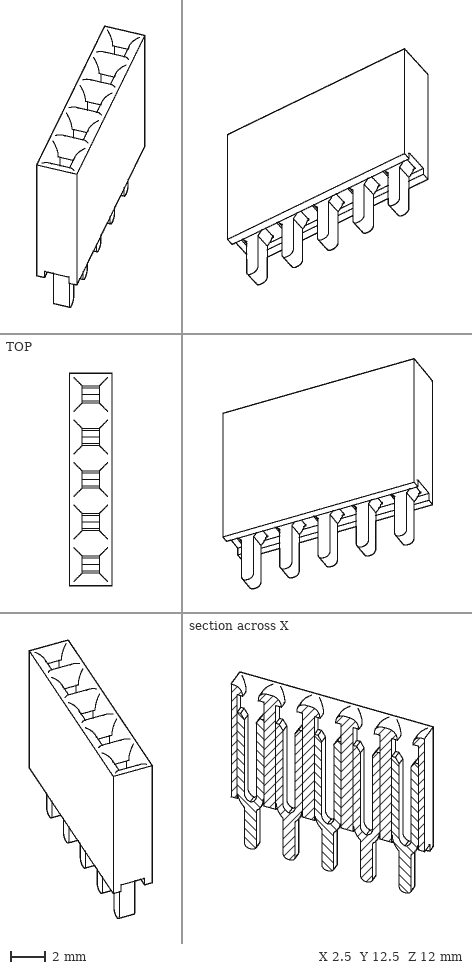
import cadquery as cq
import math

contact_count = 5
pitch = 2.5
housing_width = 2.5
housing_length = contact_count * pitch
pin_length = 3.0
housing_height = 9.0
housing_top = pin_length + housing_height

channel_width = 1.5
channel_depth = 0.5

contact_width = 1.0
funnel_radius = 0.6
throat_depth = 0.1
cavity_half_length = 0.85
cavity_top = housing_top - funnel_radius - throat_depth

pin_half_thickness = 0.4
tip_radius = 0.35
bulge_angle = math.radians(46.5)
bulge_radius = (cavity_half_length - pin_half_thickness) / (1 - math.cos(bulge_angle))
spring_level = pin_length + bulge_radius * math.sin(bulge_angle)
contact_top = 10.0
gap_half_width = 0.38
crotch_angle = math.radians(74.6)
crotch_radius = gap_half_width / (1 - math.cos(crotch_angle))
flare_angle = math.radians(32)
flare_half_width = 0.62
flare_bottom = contact_top - (flare_half_width - gap_half_width) / math.tan(flare_angle)

contact_positions = [(i - (contact_count - 1) / 2) * pitch for i in range(contact_count)]


def arc_point(tangent_y, radius, angle):
    """Point on an arc that leaves the vertical line Y = tangent_y at spring_level, turning to -Y and down."""
    return (
        tangent_y - radius * (1 - math.cos(angle)),
        spring_level - radius * math.sin(angle),
    )


def mirrored(point):
    return (-point[0], point[1])


def make_contact(y):
    """Flat contact: round-tipped pin that bulges into a two-leaf fork with a flared mouth."""
    tip_flat = pin_half_thickness - tip_radius
    tip_offset = tip_radius * math.sqrt(0.5)
    tip_middle = (tip_flat + tip_offset, tip_radius - tip_offset)
    bulge_middle = arc_point(cavity_half_length, bulge_radius, bulge_angle / 2)
    crotch_middle = arc_point(gap_half_width, crotch_radius, crotch_angle / 2)
    crotch = arc_point(gap_half_width, crotch_radius, crotch_angle)
    return (
        cq.Workplane("YZ", origin=(-contact_width / 2, y, 0))
        .moveTo(-tip_flat, 0)
        .lineTo(tip_flat, 0)
        .threePointArc(tip_middle, (pin_half_thickness, tip_radius))
        .lineTo(pin_half_thickness, pin_length)
        .threePointArc(bulge_middle, (cavity_half_length, spring_level))
        .lineTo(cavity_half_length, contact_top)
        .lineTo(flare_half_width, contact_top)
        .lineTo(gap_half_width, flare_bottom)
        .lineTo(gap_half_width, spring_level)
        .threePointArc(crotch_middle, crotch)
        .threePointArc(mirrored(crotch_middle), (-gap_half_width, spring_level))
        .lineTo(-gap_half_width, flare_bottom)
        .lineTo(-flare_half_width, contact_top)
        .lineTo(-cavity_half_length, contact_top)
        .lineTo(-cavity_half_length, spring_level)
        .threePointArc(mirrored(bulge_middle), (-pin_half_thickness, pin_length))
        .lineTo(-pin_half_thickness, tip_radius)
        .threePointArc(mirrored(tip_middle), (-tip_flat, 0))
        .close()
        .extrude(contact_width)
    )


def make_funnel_prism():
    """Trumpet-shaped profile in XZ, narrowing on convex quarter circles, extruded along Y."""
    half_throat = contact_width / 2
    half_mouth = half_throat + funnel_radius
    funnel_bottom = housing_top - funnel_radius
    offset = funnel_radius * math.sqrt(0.5)
    arc_middle = (half_mouth - offset, funnel_bottom + offset)
    return (
        cq.Workplane("XZ")
        .moveTo(-half_throat, funnel_bottom)
        .lineTo(half_throat, funnel_bottom)
        .threePointArc(arc_middle, (half_mouth, housing_top))
        .lineTo(-half_mouth, housing_top)
        .threePointArc(mirrored(arc_middle), (-half_throat, funnel_bottom))
        .close()
        .extrude(half_mouth, both=True)
    )


def make_funnel():
    """Square funnel: the trumpet profile along X intersected with the same profile along Y."""
    prism = make_funnel_prism()
    quarter_turn = 90
    return prism.intersect(prism.rotate((0, 0, 0), (0, 0, 1), quarter_turn))


def box(size_x, size_y, bottom, top):
    """Box centred on the Z axis between two levels."""
    return cq.Workplane("XY").workplane(offset=bottom).rect(size_x, size_y).extrude(top - bottom)


def make_housing():
    housing = box(housing_width, housing_length, pin_length, housing_top)
    channel = box(channel_width, housing_length, pin_length, pin_length + channel_depth)
    housing = housing.cut(channel)
    funnel = make_funnel()
    throat = box(contact_width, contact_width, cavity_top, housing_top - funnel_radius)
    cavity = box(contact_width, 2 * cavity_half_length, pin_length, cavity_top)
    for y in contact_positions:
        for opening in (cavity, throat, funnel):
            housing = housing.cut(opening.translate((0, y, 0)))
    return housing


housing = make_housing()
contacts = [make_contact(y) for y in contact_positions]
result = cq.Compound.makeCompound([housing.val(), *[contact.val() for contact in contacts]])